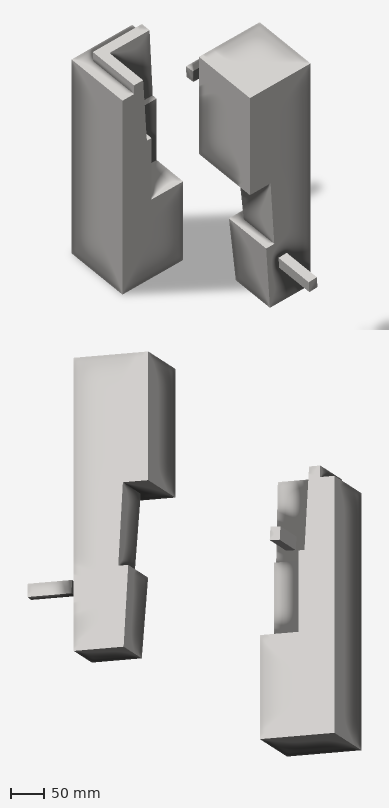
import cadquery as cq
import math

side = 120.0
post_height = 400.0
head_height = 200.0
lip_height = 618 - post_height - head_height
head_x = 300.0

neck_length = 129.0
tip_length = 126.5
neck_top = 79.0
neck_bottom = 71.5
tip_top = 88.0
tip_bottom = 80.5
taper_angle = math.degrees(math.atan((neck_top - neck_bottom) / neck_length))

lip_outer = side - 23.0
socket_top = neck_top
socket_bottom = neck_bottom
pocket_side = 62.5

key_length = 71.0
key_width = 16.0
key_height = 21.0
key_offset = 41.0
key_z = 280.0
x_key_end = 520.0
y_key_end = 270.0

rim_z = post_height + lip_height


def corner_block(size, bottom, height):
    """Square block whose +X, +Y corner is the corner of the post."""
    return cq.Workplane("XY").box(size, size, height, centered=False).translate(
        (side - size, side - size, bottom)
    )


def corner_taper(top_size, bottom_size, top_z, length):
    """Block flush at the +X and +Y faces, narrowing downwards on the other two."""
    top_center = side - top_size / 2
    shift = (top_size - bottom_size) / 2
    return (
        cq.Workplane("XY", origin=(top_center, top_center, top_z))
        .rect(top_size, top_size)
        .workplane(offset=-length)
        .center(shift, shift)
        .rect(bottom_size, bottom_size)
        .loft(ruled=True)
    )


def make_post():
    body = corner_block(side, 0, post_height)
    lip = corner_block(lip_outer, post_height, lip_height)
    socket = corner_taper(socket_top, socket_bottom, rim_z, neck_length)
    pocket_depth = neck_length + tip_length
    pocket = corner_block(pocket_side, rim_z - pocket_depth, pocket_depth)
    return body.union(lip).cut(socket).cut(pocket)


def make_head():
    block = corner_block(side, rim_z, head_height)
    neck = corner_taper(neck_top, neck_bottom, rim_z, neck_length)
    tip = corner_taper(tip_top, tip_bottom, rim_z - neck_length, tip_length)
    return block.union(neck).union(tip).translate((head_x, 0, 0))


def make_key(along_x):
    """Rectangular bar, its foot leaning towards +Y (along X) or +X (along Y)."""
    if along_x:
        bar = cq.Workplane("XY").box(key_length, key_width, key_height)
        bar = bar.rotate((0, 0, 0), (1, 0, 0), taper_angle)
        return bar.translate((x_key_end - key_length / 2, key_offset, key_z))
    bar = cq.Workplane("XY").box(key_width, key_length, key_height)
    bar = bar.rotate((0, 0, 0), (0, 1, 0), -taper_angle)
    return bar.translate((key_offset, y_key_end - key_length / 2, key_z))


post = make_post()
head = make_head()
keys = [make_key(along_x) for along_x in (True, False)]

result = cq.Compound.makeCompound([post.val(), head.val(), *[key.val() for key in keys]])